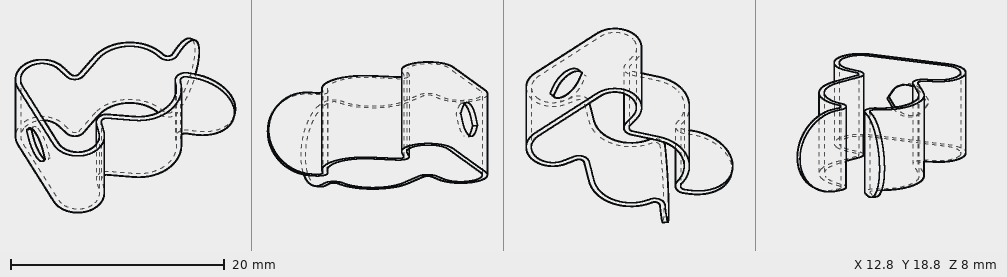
import cadquery as cq
import math

width = 12.8
depth = 18.8
height = 8.0
thickness = 0.49

foot_radius = 2.5
grip_radius = 4.0
bend_radius = 0.49
waist_gap = 5.0
neck_gap = 1.95
grip_width = 9.96
waist_y = 5.68
grip_y = 10.19
tab_angle = 52.5

hole_height = 3.15
hole_arc_radius = 1.85
hole_length = 4.02

bend_outside_radius = bend_radius + thickness
foot_center = (width / 2 - foot_radius, foot_radius)
waist_center = (waist_gap / 2 + bend_outside_radius, waist_y)
grip_center = (grip_width / 2 - grip_radius, grip_y)
neck_x = neck_gap / 2 + bend_outside_radius
neck_rise = math.sqrt((grip_radius + bend_radius) ** 2 - (neck_x - grip_center[0]) ** 2)
neck_center = (neck_x, grip_y + neck_rise)


def polar(center, radius, angle):
    """Point at a given radius and angle (degrees) from a centre."""
    a = math.radians(angle)
    return (center[0] + radius * math.cos(a), center[1] + radius * math.sin(a))


def direction(start, end):
    return math.degrees(math.atan2(end[1] - start[1], end[0] - start[0]))


def crossing_tangent_offset(center, radius, bend_center):
    """Angle between the centre line and the contact of a tangent crossing to a bend."""
    return math.degrees(math.acos((radius + bend_radius) / math.dist(center, bend_center)))


foot_joint = direction(foot_center, waist_center) - crossing_tangent_offset(
    foot_center, foot_radius, waist_center)
grip_joint = direction(grip_center, waist_center) + crossing_tangent_offset(
    grip_center, grip_radius, waist_center)
neck_joint = direction(grip_center, neck_center)

tab_normal = tab_angle + 90
tab_radius = height / 2
tab_start_y = polar(neck_center, bend_outside_radius, tab_normal)[1]
tab_length = (depth - tab_start_y) / math.sin(math.radians(tab_angle))
tab_straight = tab_length - tab_radius


def strip_edge(inset):
    """Arcs (start, middle, end) of the strip edge lying inset from its outer face."""
    def arc(center, radius, start, end):
        return [polar(center, radius, a) for a in (start, (start + end) / 2, end)]

    bend = bend_radius + inset
    return [
        arc(foot_center, foot_radius - inset, -90, foot_joint),
        arc(waist_center, bend, foot_joint + 180, grip_joint + 180),
        arc(grip_center, grip_radius - inset, grip_joint, neck_joint),
        arc(neck_center, bend, neck_joint + 180, tab_normal),
    ]


def draw_to(outline, point):
    """Line to a point, skipped where adjoining arcs already meet."""
    if math.dist(outline.val().endPoint().toTuple()[:2], point) > 1.88e-07:
        return outline.lineTo(*point)
    return outline


def half_strip():
    outer = strip_edge(0)
    inner = strip_edge(thickness)
    outline = cq.Workplane("XY").workplane(offset=-height / 2).moveTo(0, 0)
    outline = outline.lineTo(*outer[0][0])
    for start, middle, end in outer:
        outline = draw_to(outline, start).threePointArc(middle, end)
    outline = outline.lineTo(*polar(outer[-1][-1], tab_straight, tab_angle))
    outline = outline.lineTo(*polar(inner[-1][-1], tab_straight, tab_angle))
    for start, middle, end in reversed(inner):
        outline = draw_to(outline, end).threePointArc(middle, start)
    return outline.lineTo(0, thickness).close().extrude(height)


def tab_end():
    bend_end = polar(neck_center, bend_radius, tab_normal)
    plane = cq.Plane(
        origin=(*polar(bend_end, tab_straight, tab_angle), 0),
        xDir=(*polar((0, 0), 1, tab_angle), 0),
        normal=(*polar((0, 0), 1, tab_normal), 0),
    )
    half_disc = cq.Workplane(plane).moveTo(0, -tab_radius)
    half_disc = half_disc.threePointArc((tab_radius, 0), (0, tab_radius)).close()
    return half_disc.extrude(thickness)


def base_hole():
    """Lens-shaped hole: top and bottom arcs run along tangents to a point at each side."""
    tip = hole_length / 2
    half_height = hole_height / 2
    arc_center = (0, half_height - hole_arc_radius)
    tip_distance = math.dist(arc_center, (tip, 0))
    contact = direction(arc_center, (tip, 0)) + math.degrees(math.acos(hole_arc_radius / tip_distance))
    right_x, top_z = polar(arc_center, hole_arc_radius, contact)
    outline = (
        cq.Workplane("XZ")
        .moveTo(tip, 0)
        .lineTo(right_x, top_z)
        .threePointArc((0, half_height), (-right_x, top_z))
        .lineTo(-tip, 0)
        .lineTo(-right_x, -top_z)
        .threePointArc((0, -half_height), (right_x, -top_z))
        .close()
    )
    return outline.extrude(-thickness)


right_half = half_strip().union(tab_end())
result = right_half.union(right_half.mirror("YZ")).cut(base_hole())